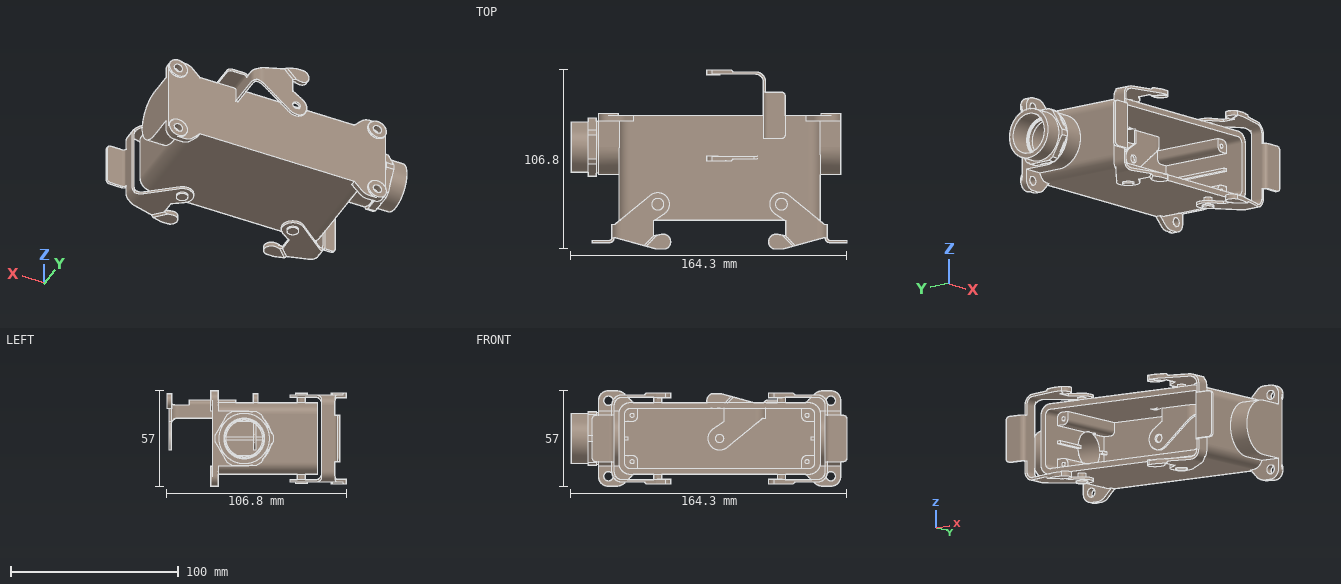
import cadquery as cq
import math


housing_length = 120.1
housing_height = 42.7
housing_depth = 62.6
wall = 3.5
corner_radius = 6.9
cavity_length = housing_length - 2 * wall
cavity_height = housing_height - 2 * wall
floor_y = -wall

boss_radius = 16.5
boss_end_span = 144.5
boss_end_x = boss_end_span / 2
flange_thickness = 3.5
flange_height = 57.0
flange_top_z = flange_height / 2
lug_diameter = 12.0
lug_height = 1.2
lug_x = boss_end_x - lug_diameter / 2
lug_z = flange_top_z - lug_diameter / 2
mount_hole_diameter = 5.5
flange_flat_start_x = 61.6
flange_slope_radius = 7.5
flange_slope_angle = math.radians(45)

post_size = 7.7
post_round = 3.0
post_depth = 47.2
post_hole_diameter = 2.5
post_hole_depth = 16.5
post_hole_x = 52.1
post_hole_z = 13.8
rib_width = 1.6
rib_height = 2.1

gland_y = -18.9
gland_end_x = -88.4
nut_start_x = -78.4
nut_end_x = -73.5
tube_diameter = 30.0
collar_diameter = 31.0
nut_flats = 31.9
nut_corner_flats = 34.8
mouth_diameter = 24.3
mouth_end_x = -75.9
seat_diameter = 23.3
seat_end_x = -75.1
bore_diameter = 21.9

sheet = 1.5
lever_half_width = 26.0
lever_bend_radius = 6.0
pivot_radius = 6.9
pivot_hole_diameter = 5.0
web_u = 27.5
web_start_v = 12.0
web_end_v = 20.0
long_edge_u = 25.6
lower_edge_u = 25.3
notch_u = 2.5
notch_start_v = 10.0
notch_end_v = 18.7
hook_radius = 4.6
hook_u = -3.1
hook_end_v = 26.8
hook_flat_start_u = 0.8
hook_flat_end_u = -4.5
hook_lip_u = 0.3
hook_root_u = 8.2
hook_inner = 24.2
hook_outer = 27.1
hook_step = hook_outer - lever_half_width
handle_end_u = 39.1
handle_width = 27.8
handle_half_width = handle_width / 2
handle_corner_radius = 2.3
handle_bend_radius = 1.5

pivot_x = 36.8
pivot_setback = 9.7
pivot_y = pivot_setback - housing_depth
pin_head_diameter = 7.0
pin_head_end_z = 27.0


def box(x_start, x_end, y_start, y_end, z_start, z_end):
    """Axis-aligned block between two opposite corners."""
    return cq.Workplane("XY").box(
        x_end - x_start, y_end - y_start, z_end - z_start, centered=False
    ).translate((x_start, y_start, z_start))


def x_rod(diameter, x_start, x_end):
    """Round bar along X on the gland axis."""
    return (
        cq.Workplane("YZ", origin=(x_start, gland_y, 0))
        .circle(diameter / 2)
        .extrude(x_end - x_start)
    )


def end_boss(side):
    """U-shaped boss on one end of the housing (side is -1 or +1)."""
    inner_x = side * (housing_length / 2 - wall)
    outer_x = side * boss_end_x
    low_x, high_x = sorted((inner_x, outer_x))
    rounded = x_rod(2 * boss_radius, low_x, high_x)
    return rounded.union(box(low_x, high_x, gland_y, 0, -boss_radius, boss_radius))


def flange_corner(side_x, side_z):
    """One quarter of the mounting flange with its raised lug and screw hole."""
    slope_x = flange_flat_start_x - flange_slope_radius * math.sin(flange_slope_angle)
    slope_z = flange_top_z - flange_slope_radius * (1 - math.cos(flange_slope_angle))
    root_x = slope_x - (slope_z - housing_height / 2) / math.tan(flange_slope_angle)
    slope_mid = flange_slope_angle / 2
    slope_mid_point = (
        flange_flat_start_x - flange_slope_radius * math.sin(slope_mid),
        flange_top_z - flange_slope_radius * (1 - math.cos(slope_mid)),
    )
    plate = (
        cq.Workplane("XZ")
        .moveTo(root_x, 0)
        .lineTo(root_x, housing_height / 2)
        .lineTo(slope_x, slope_z)
        .threePointArc(slope_mid_point, (flange_flat_start_x, flange_top_z))
        .lineTo(lug_x, flange_top_z)
        .lineTo(boss_end_x, lug_z)
        .lineTo(boss_end_x, 0)
        .close()
        .extrude(flange_thickness)
    )
    lug_axis = cq.Workplane("XZ", origin=(lug_x, lug_height, lug_z))
    lug = lug_axis.circle(lug_diameter / 2).extrude(lug_height + flange_thickness)
    hole = lug_axis.circle(mount_hole_diameter / 2).extrude(lug_height + flange_thickness)
    corner = plate.union(lug).cut(hole)
    if side_x < 0:
        corner = corner.mirror("YZ")
    if side_z < 0:
        corner = corner.mirror("XY")
    return corner


def screw_post(side_x, side_z):
    """Square post in a corner of the cavity, with a rounded inner edge and a blind hole."""
    end_x = cavity_length / 2
    end_z = cavity_height / 2
    post = box(end_x - post_size, end_x, floor_y - post_depth, floor_y, end_z - post_size, end_z)
    post = post.edges("|Y").edges("<X").edges("<Z").fillet(post_round)
    hole = (
        cq.Workplane("XZ", origin=(0, floor_y - post_depth + post_hole_depth, 0))
        .center(post_hole_x, post_hole_z)
        .circle(post_hole_diameter / 2)
        .extrude(post_hole_depth)
    )
    post = post.cut(hole)
    if side_x < 0:
        post = post.mirror("YZ")
    if side_z < 0:
        post = post.mirror("XY")
    return post


def guide_rib(side):
    """Narrow rib down the middle of one end wall of the cavity."""
    low_x, high_x = sorted((side * cavity_length / 2, side * (cavity_length / 2 - rib_height)))
    return box(low_x, high_x, floor_y - post_depth, floor_y, -rib_width / 2, rib_width / 2)


def pivot_pin(side_x, side_z):
    """Pin with a flat head that carries one lever arm."""
    pin_root_z = housing_height / 2 - wall / 2
    shaft = (
        cq.Workplane("XY", origin=(side_x * pivot_x, pivot_y, pin_root_z))
        .circle(pivot_hole_diameter / 2)
        .extrude(lever_half_width - pin_root_z)
    )
    head = (
        cq.Workplane("XY", origin=(side_x * pivot_x, pivot_y, lever_half_width))
        .circle(pin_head_diameter / 2)
        .extrude(pin_head_end_z - lever_half_width)
    )
    pin = shaft.union(head)
    return pin if side_z > 0 else pin.mirror("XY")


def make_housing():
    """Open box with end bosses, flange, posts, ribs, pivot pins and the gland bore."""
    sides = (-1, 1)
    corners = [(side_x, side_z) for side_x in sides for side_z in sides]
    shell = (
        cq.Workplane("XZ")
        .rect(housing_length, housing_height)
        .extrude(housing_depth)
        .edges("|Y")
        .fillet(corner_radius)
    )
    for side in sides:
        shell = shell.union(end_boss(side))
    for side_x, side_z in corners:
        shell = shell.union(flange_corner(side_x, side_z))
    cavity = (
        cq.Workplane("XZ", origin=(0, floor_y, 0))
        .rect(cavity_length, cavity_height)
        .extrude(housing_depth - wall)
        .edges("|Y")
        .fillet(corner_radius - wall)
    )
    shell = shell.cut(cavity)
    for side in sides:
        shell = shell.union(guide_rib(side))
    for side_x, side_z in corners:
        shell = shell.union(screw_post(side_x, side_z))
        shell = shell.union(pivot_pin(side_x, side_z))
    return shell.cut(x_rod(bore_diameter, -boss_end_x, rib_height - cavity_length / 2))


def make_gland():
    """Cable gland: open tube, hexagon nut with flattened corners and a collar on the boss."""
    def nut_prism(flats):
        return cq.Workplane("YZ", origin=(nut_start_x, gland_y, 0)).polygon(
            6, flats / math.cos(math.radians(30))
        ).extrude(nut_end_x - nut_start_x)

    corner_cutter = nut_prism(nut_corner_flats).rotate((0, gland_y, 0), (1, gland_y, 0), 30)
    nut = nut_prism(nut_flats).intersect(corner_cutter)
    tube = x_rod(tube_diameter, gland_end_x, nut_start_x)
    collar = x_rod(collar_diameter, nut_end_x, -boss_end_x)
    gland = tube.union(nut).union(collar)
    gland = gland.cut(x_rod(mouth_diameter, gland_end_x, mouth_end_x))
    gland = gland.cut(x_rod(seat_diameter, mouth_end_x, seat_end_x))
    return gland.cut(x_rod(bore_diameter, seat_end_x, -boss_end_x))


def tangent_point(point, centre, radius, turn):
    """Point where a line from `point` touches a circle; turn (+1 or -1) picks the side."""
    away_u = point[0] - centre[0]
    away_v = point[1] - centre[1]
    angle = math.atan2(away_v, away_u) + turn * math.acos(radius / math.hypot(away_u, away_v))
    return (centre[0] + radius * math.cos(angle), centre[1] + radius * math.sin(angle))


def lower_edge_v(u):
    """Height of the sloping lower edge of a lever arm at distance u."""
    slope = (hook_end_v - web_end_v) / (lower_edge_u - hook_flat_start_u)
    return hook_end_v - slope * (u - hook_flat_start_u)


hook_v = hook_end_v - math.sqrt(hook_radius**2 - (hook_u - hook_flat_end_u) ** 2)
hook_centre = (hook_u, hook_v)
notch_end = (notch_u, notch_end_v)
hook_root = (hook_root_u, lower_edge_v(hook_root_u))
hook_tangent = tangent_point(notch_end, hook_centre, hook_radius, -1)
hook_side = (hook_u - hook_radius, hook_v)
hook_flat_end = (hook_flat_end_u, hook_end_v)
hook_lip_fraction = (notch_u - hook_lip_u) / (notch_u - hook_tangent[0])
hook_lip = (hook_lip_u, notch_end_v + hook_lip_fraction * (hook_tangent[1] - notch_end_v))


def lever_channel():
    """Two arms joined by a web: the arm outline cut from a bent U-shaped strip."""
    notch_start = (notch_u, notch_start_v)
    long_edge_end = (long_edge_u, web_start_v)
    pivot_top = tangent_point(notch_start, (0, 0), pivot_radius, 1)
    pivot_bottom = tangent_point(long_edge_end, (0, 0), pivot_radius, -1)
    outline = (
        cq.Workplane("XZ", origin=(0, lever_half_width, 0))
        .moveTo(*pivot_bottom)
        .lineTo(*long_edge_end)
        .lineTo(web_u, web_start_v)
        .lineTo(web_u, web_end_v)
        .lineTo(lower_edge_u, web_end_v)
        .lineTo(hook_flat_start_u, hook_end_v)
        .lineTo(*hook_flat_end)
        .threePointArc(hook_side, hook_tangent)
        .lineTo(*notch_end)
        .lineTo(*notch_start)
        .lineTo(*pivot_top)
        .threePointArc((-pivot_radius, 0), pivot_bottom)
        .close()
        .extrude(2 * lever_half_width)
    )
    open_end_u = hook_side[0] - sheet
    strip_v = (-pivot_radius, hook_end_v)
    outer = box(open_end_u, web_u, -lever_half_width, lever_half_width, *strip_v)
    outer = outer.edges("|Z and >X").fillet(lever_bend_radius)
    inner_half_width = lever_half_width - sheet
    inner = box(open_end_u, web_u - sheet, -inner_half_width, inner_half_width, *strip_v)
    inner = inner.edges("|Z and >X").fillet(lever_bend_radius - sheet)
    pivot_hole = (
        cq.Workplane("XZ", origin=(0, lever_half_width, 0))
        .circle(pivot_hole_diameter / 2)
        .extrude(2 * lever_half_width)
    )
    return outline.intersect(outer.cut(inner)).cut(pivot_hole)


def lever_hook():
    """Thickened hook on the +Y arm: a bevelled step outside and a thin lip inside."""
    arm_inner = lever_half_width - sheet
    hook = (
        cq.Workplane("XZ", origin=(0, hook_outer, 0))
        .moveTo(*notch_end)
        .lineTo(*hook_root)
        .lineTo(hook_flat_start_u, hook_end_v)
        .lineTo(*hook_flat_end)
        .threePointArc(hook_side, hook_tangent)
        .close()
        .extrude(hook_outer - arm_inner)
    )
    root_middle = ((notch_end[0] + hook_root[0]) / 2, hook_outer, (notch_end[1] + hook_root[1]) / 2)
    hook = hook.edges(cq.selectors.NearestToPointSelector(root_middle)).chamfer(hook_step)
    lip = (
        cq.Workplane("XZ", origin=(0, arm_inner, 0))
        .moveTo(*hook_lip)
        .lineTo(*hook_flat_end)
        .threePointArc(hook_side, hook_tangent)
        .close()
        .extrude(arm_inner - hook_inner)
    )
    return hook.union(lip)


def lever_handle():
    """Thumb plate bent outwards from the lower edge of the web."""
    outer_bend = handle_bend_radius + sheet
    bend_u = web_u + handle_bend_radius
    bend_v = web_end_v
    diagonal = math.sin(math.radians(45))
    handle = (
        cq.Workplane("XZ", origin=(0, handle_half_width, 0))
        .moveTo(web_u, bend_v)
        .threePointArc(
            (bend_u - handle_bend_radius * diagonal, bend_v + handle_bend_radius * diagonal),
            (bend_u, bend_v + handle_bend_radius),
        )
        .lineTo(handle_end_u, bend_v + handle_bend_radius)
        .lineTo(handle_end_u, bend_v + outer_bend)
        .lineTo(bend_u, bend_v + outer_bend)
        .threePointArc(
            (bend_u - outer_bend * diagonal, bend_v + outer_bend * diagonal),
            (web_u - sheet, bend_v),
        )
        .close()
        .extrude(2 * handle_half_width)
    )
    return handle.edges("|Z and >X").fillet(handle_corner_radius)


def make_lever():
    """Lever with its pivot axis on Y through the origin, u along X and v along Z."""
    hook = lever_hook()
    return lever_channel().union(hook).union(hook.mirror("XZ")).union(lever_handle())


lever = make_lever()
right_lever = lever.rotate((0, 0, 0), (1, 0, 0), 90).translate((pivot_x, pivot_y, 0))
left_lever = right_lever.rotate((0, 0, 0), (0, 1, 0), 180)
back_lever = lever

housing = make_housing().cut(back_lever)
gland = make_gland()

levers = [placed.val() for placed in (left_lever, right_lever, back_lever)]
result = cq.Compound.makeCompound([housing.val(), gland.val(), *levers])